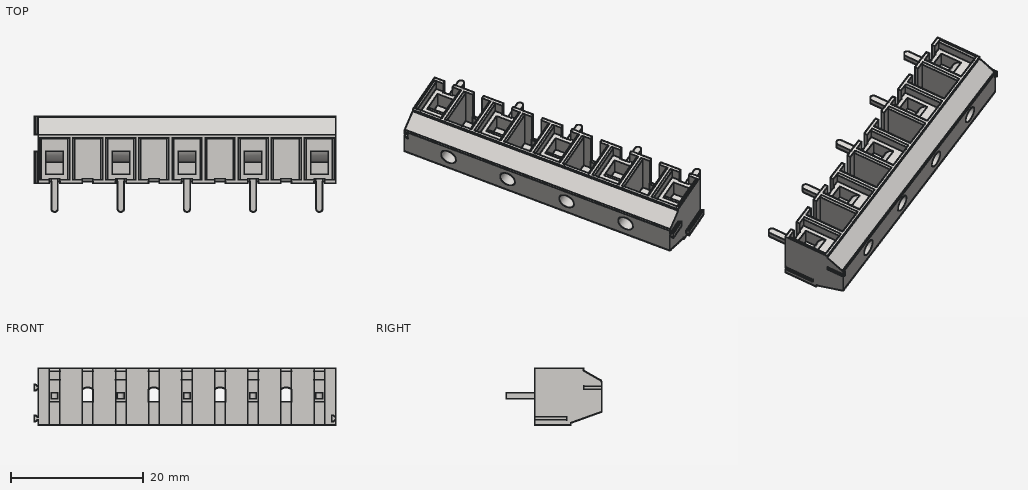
import cadquery as cq
import math


total_length = 45.6
lug_reach = 0.6
body_length = total_length - lug_reach
body_depth = 10.15
body_height = 8.6
cell_count = 9
pitch = body_length / cell_count

back_top_drop = 2.15
back_edge_run = 0.15
back_edge_height = 0.27
top_slope_depth = 2.8
top_step = 0.35
back_bottom_drop = 6.6
bottom_slope_depth = 4.7
bottom_step = 0.3

cell_width = 3.95
cell_front = 0.55
cell_back = 6.75
side_bevel_run = 0.27
side_bevel_height = 0.27
back_bevel_run = 0.2
back_bevel_height = 0.5
open_cell_drop = 6.5
pin_floor_drop = 1.8

notch_width = 1.6
notch_depth = 0.7
sill_drop = 5.05
sill_recess = 0.27

pin_width = 1.0
pin_thickness = 0.95
pin_reach = 4.35
pin_axis_drop = 4.2

wire_hole_diameter = 2.5

pocket_width = 2.65
pocket_front = 1.35
pocket_back = 4.85
ramp_run = 1.65
ramp_radius = 2.85

dovetail_width = 1.0
dovetail_inset = 0.27
dovetail_tip = 0.2
dovetail_neck = 0.1
upper_dovetail_drop = 2.95
upper_dovetail_length = top_slope_depth
lower_dovetail_drop = 7.6
lower_dovetail_length = 4.85


def block(x0, x1, y0, y1, z0, z1):
    """Axis-aligned box between two opposite corners."""
    return cq.Workplane("XY").box(x1 - x0, y1 - y0, z1 - z0, centered=False).translate((x0, y0, z0))


def extrude_along_x(outline, x_start, length):
    """Extrude a closed (Y, Z) outline along +X."""
    return outline.close().extrude(length).translate((x_start, 0, 0))


def make_body():
    outline = cq.Workplane("YZ").polyline([
        (0, 0),
        (body_depth - bottom_slope_depth, 0),
        (body_depth - bottom_slope_depth, bottom_step),
        (body_depth, body_height - back_bottom_drop),
        (body_depth, body_height - back_top_drop),
        (body_depth - back_edge_run, body_height - back_top_drop + back_edge_height),
        (body_depth - top_slope_depth, body_height - top_step),
        (body_depth - top_slope_depth, body_height),
        (0, body_height),
    ])
    return extrude_along_x(outline, 0, body_length)


def make_cell_cavity(x_center, drop):
    """Cavity whose mouth is bevelled outward along the sides and the back."""
    floor = body_height - drop
    half_width = cell_width / 2
    half_mouth = half_width + side_bevel_run
    across = (
        cq.Workplane("XZ", origin=(x_center, body_depth, 0))
        .polyline([
            (-half_width, floor),
            (half_width, floor),
            (half_width, body_height - side_bevel_height),
            (half_mouth, body_height),
            (-half_mouth, body_height),
            (-half_width, body_height - side_bevel_height),
        ])
        .close()
        .extrude(body_depth)
    )
    lengthwise = extrude_along_x(
        cq.Workplane("YZ").polyline([
            (cell_front, floor),
            (cell_back, floor),
            (cell_back, body_height - back_bevel_height),
            (cell_back + back_bevel_run, body_height),
            (cell_front, body_height),
        ]),
        x_center - half_mouth,
        2 * half_mouth,
    )
    return across.intersect(lengthwise)


def make_notch(x_center):
    """Full-height slot through the front wall."""
    x0 = x_center - notch_width / 2
    return block(x0, x0 + notch_width, 0, notch_depth, 0, body_height)


def make_sill(x_center):
    """Recessed block that closes the lower part of a notch."""
    x0 = x_center - notch_width / 2
    return block(x0, x0 + notch_width, sill_recess, notch_depth, 0, body_height - sill_drop)


def make_wire_hole(x_center):
    return (
        cq.Workplane("XZ", origin=(x_center, body_depth, body_height - pin_axis_drop))
        .circle(wire_hole_diameter / 2)
        .extrude(body_depth - cell_back)
    )


def make_contact_pocket(x_center):
    """Pocket whose back is a convex ramp, curving down until it stands vertical."""
    top = body_height - pin_floor_drop
    ramp_foot = pocket_back - ramp_run
    arc_center_y = ramp_foot + ramp_radius
    start_angle = math.acos((arc_center_y - pocket_back) / ramp_radius)
    pocket_floor = top - ramp_radius * math.sin(start_angle)
    arc_middle = (
        arc_center_y - ramp_radius * math.cos(start_angle / 2),
        pocket_floor + ramp_radius * math.sin(start_angle / 2),
    )
    outline = (
        cq.Workplane("YZ")
        .moveTo(pocket_back, top)
        .threePointArc(arc_middle, (ramp_foot, pocket_floor))
        .lineTo(pocket_front, pocket_floor)
        .lineTo(pocket_front, top)
    )
    return extrude_along_x(outline, x_center - pocket_width / 2, pocket_width)


def make_pin(x_center):
    """Flat pin with a fully rounded tip, rooted in the front of its cell block."""
    half = pin_width / 2
    tip_start = half - pin_reach
    return (
        cq.Workplane("XY", origin=(x_center, 0, body_height - pin_axis_drop - pin_thickness / 2))
        .moveTo(-half, pocket_front)
        .lineTo(-half, tip_start)
        .threePointArc((0, -pin_reach), (half, tip_start))
        .lineTo(half, pocket_front)
        .close()
        .extrude(pin_thickness)
    )


def make_dovetail(x_root, drop, y_start, length):
    """Dovetail bar reaching toward -X from x_root, widest at its tip."""
    half_tip = dovetail_width / 2
    half_root = half_tip - dovetail_inset
    return (
        cq.Workplane("XZ", origin=(x_root, y_start + length, body_height - drop))
        .polyline([
            (0, -half_root),
            (-dovetail_neck, -half_root),
            (dovetail_tip - lug_reach, -half_tip),
            (-lug_reach, -half_tip),
            (-lug_reach, half_tip),
            (dovetail_tip - lug_reach, half_tip),
            (-dovetail_neck, half_root),
            (0, half_root),
        ])
        .close()
        .extrude(length)
    )


def make_dovetail_pair(x_root):
    """Upper bar flush with the back face and lower bar flush with the front face."""
    upper_start = body_depth - upper_dovetail_length
    upper = make_dovetail(x_root, upper_dovetail_drop, upper_start, upper_dovetail_length)
    lower = make_dovetail(x_root, lower_dovetail_drop, 0, lower_dovetail_length)
    return upper, lower


result = make_body()
for index in range(cell_count):
    x_cell = (index + 0.5) * pitch
    has_pin = index % 2 == 0
    result = result.cut(make_cell_cavity(x_cell, pin_floor_drop if has_pin else open_cell_drop))
    result = result.cut(make_notch(x_cell)).union(make_sill(x_cell))
    if has_pin:
        result = result.cut(make_contact_pocket(x_cell))
        result = result.union(make_pin(x_cell))
    else:
        result = result.cut(make_wire_hole(x_cell))

for lug in make_dovetail_pair(0):
    result = result.union(lug)
for groove in make_dovetail_pair(body_length):
    result = result.cut(groove)